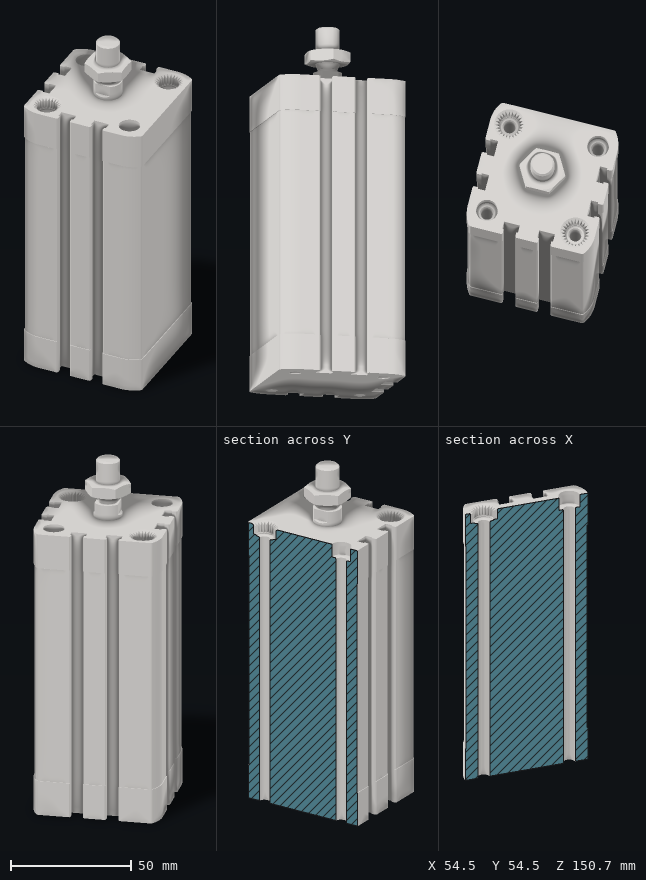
import cadquery as cq
import math

CAP_WIDTH = 54.5
BARREL_INSET = 0.3
TOTAL_HEIGHT = 150.7
HOUSING_HEIGHT = 125.1
CAP_HEIGHT = 15.0
BARREL_HEIGHT = HOUSING_HEIGHT - 2 * CAP_HEIGHT

HOLE_OFFSET = 19.0
CORNER_DROP = 3.0
CORNER_EDGE_RADIUS = 1.4

SLOT_OFFSET = 7.5
SLOT_MOUTH_WIDTH = 5.5
SLOT_INNER_WIDTH = 6.8
SLOT_LIP = 2.3
SLOT_CHAMFER = 0.5
SLOT_DEPTH = 5.5

CORE_DIAMETER = 5.0
CORE_COUNTERSINK_DIAMETER = 6.0
COUNTERBORE_DIAMETER = 9.0
COUNTERBORE_DEPTH = 5.7
SOCKET_TEETH = 24
SOCKET_TIP_DIAMETER = 8.6
SOCKET_ROOT_DIAMETER = 11.9
SOCKET_DEPTH = 5.1
WELL_DIAMETER = 8.1
WELL_DEPTH = 0.5
SOCKET_MOUTH_DIAMETER = 12.8
SOCKET_MOUTH_DEPTH = 1.2

ROD_DIAMETER = 12.0
ROD_SHOULDER_HEIGHT = 6.6
FLAT_WIDTH = 10.0
FLAT_BOTTOM = 1.4
FLAT_SLOPE_HEIGHT = 0.6
THREAD_DIAMETER = 10.0
THREAD_CHAMFER = 0.8
NECK_DIAMETER = THREAD_DIAMETER - 2 * THREAD_CHAMFER
GROOVE_DIAMETER = 8.1
GROOVE_HEIGHT = 1.4
THREAD_BOTTOM = HOUSING_HEIGHT + 10.2

NUT_ACROSS_FLATS = 17.0
NUT_HEIGHT = 5.0
NUT_BOTTOM = 135.6
NUT_CHAMFER_ANGLE = 20.0


def block(inset, height, base):
    """Square block with corner arcs tangent to its Y faces, set back from the cap faces by `inset`."""
    half = CAP_WIDTH / 2
    run = half - HOLE_OFFSET
    radius = (run**2 + CORNER_DROP**2) / (2 * CORNER_DROP)
    mid_angle = math.asin(run / radius) / 2
    mid_x = HOLE_OFFSET + radius * math.sin(mid_angle)
    mid_y = half - radius * (1 - math.cos(mid_angle))
    side_y = half - CORNER_DROP
    outline = (
        cq.Workplane("XY", origin=(0, 0, base))
        .moveTo(-HOLE_OFFSET, half)
        .lineTo(HOLE_OFFSET, half)
        .threePointArc((mid_x, mid_y), (half, side_y))
        .lineTo(half, -side_y)
        .threePointArc((mid_x, -mid_y), (HOLE_OFFSET, -half))
        .lineTo(-HOLE_OFFSET, -half)
        .threePointArc((-mid_x, -mid_y), (-half, -side_y))
        .lineTo(-half, side_y)
        .threePointArc((-mid_x, mid_y), (-HOLE_OFFSET, half))
        .close()
    )
    if inset > 0:
        outline = outline.offset2D(-inset)
    solid = outline.extrude(height)
    for face in ("<X", ">X"):
        solid = solid.faces(face).edges("|Z").fillet(CORNER_EDGE_RADIUS - inset)
    return solid


def t_slot(x, inset, height, base):
    """Cutter for one T-slot in the -Y face, its chamfered mouth starting `inset` behind the cap face."""
    cap_face = -CAP_WIDTH / 2
    face = cap_face + inset
    lip = cap_face + SLOT_LIP
    floor = cap_face + SLOT_DEPTH
    mouth = SLOT_MOUTH_WIDTH / 2
    inner = SLOT_INNER_WIDTH / 2
    opening = mouth + SLOT_CHAMFER
    return (
        cq.Workplane("XY", origin=(x, 0, base))
        .polyline([
            (-opening, face),
            (-mouth, face + SLOT_CHAMFER),
            (-mouth, lip),
            (-inner, lip),
            (-inner, floor),
            (inner, floor),
            (inner, lip),
            (mouth, lip),
            (mouth, face + SLOT_CHAMFER),
            (opening, face),
        ])
        .close()
        .extrude(height)
    )


def section(inset, height, base):
    """One length of the housing: a block with two T-slots in each slotted face."""
    solid = block(inset, height, base)
    for turn in (0, 180, -90):
        for x in (-SLOT_OFFSET, SLOT_OFFSET):
            solid = solid.cut(t_slot(x, inset, height, base).rotate((0, 0, 0), (0, 0, 1), turn))
    return solid


def cone(top_diameter, bottom_diameter, top_z, depth):
    """Truncated cone on the Z axis, reaching down from `top_z`."""
    return cq.Workplane("XY").add(
        cq.Solid.makeCone(bottom_diameter / 2, top_diameter / 2, depth, pnt=cq.Vector(0, 0, top_z - depth))
    )


def core_hole(floor_z):
    """Through hole with a 45-degree countersink at the recess floor."""
    countersink_depth = (CORE_COUNTERSINK_DIAMETER - CORE_DIAMETER) / 2
    through = cq.Workplane("XY").circle(CORE_DIAMETER / 2).extrude(floor_z)
    return through.union(cone(CORE_COUNTERSINK_DIAMETER, CORE_DIAMETER, floor_z, countersink_depth))


def counterbored_hole():
    """Plain counterbore over the through hole."""
    floor_z = HOUSING_HEIGHT - COUNTERBORE_DEPTH
    bore = (
        cq.Workplane("XY", origin=(0, 0, floor_z))
        .circle(COUNTERBORE_DIAMETER / 2)
        .extrude(COUNTERBORE_DEPTH)
    )
    return core_hole(floor_z).union(bore)


def socket_hole():
    """Toothed socket with a conical mouth and a round well at its floor, over the through hole."""
    floor_z = HOUSING_HEIGHT - SOCKET_DEPTH
    points = []
    for i in range(2 * SOCKET_TEETH):
        radius = (SOCKET_ROOT_DIAMETER if i % 2 == 0 else SOCKET_TIP_DIAMETER) / 2
        angle = math.pi * i / SOCKET_TEETH
        points.append((radius * math.cos(angle), radius * math.sin(angle)))
    socket = (
        cq.Workplane("XY", origin=(0, 0, floor_z + WELL_DEPTH))
        .polyline(points)
        .close()
        .extrude(SOCKET_DEPTH - WELL_DEPTH)
    )
    mouth = cone(SOCKET_MOUTH_DIAMETER, SOCKET_TIP_DIAMETER, HOUSING_HEIGHT, SOCKET_MOUTH_DEPTH)
    well = cq.Workplane("XY", origin=(0, 0, floor_z)).circle(WELL_DIAMETER / 2).extrude(WELL_DEPTH)
    return core_hole(floor_z).union(well).union(socket).union(mouth)


def make_housing():
    """Two caps and the barrel as one solid, with sockets and counterbores at opposite corners."""
    body = section(0, CAP_HEIGHT, 0)
    body = body.union(section(BARREL_INSET, BARREL_HEIGHT, CAP_HEIGHT))
    body = body.union(section(0, CAP_HEIGHT, CAP_HEIGHT + BARREL_HEIGHT))
    for side in (-1, 1):
        x = side * HOLE_OFFSET
        body = body.cut(socket_hole().translate((x, x, 0)))
        body = body.cut(counterbored_hole().translate((x, -x, 0)))
    return body


def make_rod():
    """Turned rod standing on the housing, with two wrench flats facing -Y and +Y."""
    shoulder_z = HOUSING_HEIGHT + ROD_SHOULDER_HEIGHT
    rod_radius = ROD_DIAMETER / 2
    neck_radius = NECK_DIAMETER / 2
    groove_top = shoulder_z + GROOVE_HEIGHT
    groove_radius = GROOVE_DIAMETER / 2
    thread_radius = THREAD_DIAMETER / 2
    rod = (
        cq.Workplane("XZ")
        .polyline([
            (0, HOUSING_HEIGHT),
            (rod_radius, HOUSING_HEIGHT),
            (rod_radius, shoulder_z),
            (groove_radius, shoulder_z),
            (groove_radius, groove_top),
            (neck_radius, groove_top),
            (thread_radius, THREAD_BOTTOM),
            (thread_radius, TOTAL_HEIGHT - THREAD_CHAMFER),
            (neck_radius, TOTAL_HEIGHT),
            (0, TOTAL_HEIGHT),
        ])
        .close()
        .revolve(360, (0, 0, 0), (0, 1, 0))
    )
    flat_z = HOUSING_HEIGHT + FLAT_BOTTOM
    for side in (-1, 1):
        flat = (
            cq.Workplane("YZ")
            .polyline([
                (side * rod_radius, flat_z),
                (side * FLAT_WIDTH / 2, flat_z + FLAT_SLOPE_HEIGHT),
                (side * FLAT_WIDTH / 2, shoulder_z),
                (side * rod_radius, shoulder_z),
            ])
            .close()
            .extrude(rod_radius, both=True)
        )
        rod = rod.cut(flat)
    return rod


def make_nut():
    """Hexagon nut, corners pointing along Y, both faces chamfered down to the flats' circle."""
    corner_diameter = NUT_ACROSS_FLATS / math.cos(math.pi / 6)
    chamfer_drop = (corner_diameter - NUT_ACROSS_FLATS) / 2 * math.tan(math.radians(NUT_CHAMFER_ANGLE))
    hexagon = (
        cq.Workplane("XY", origin=(0, 0, NUT_BOTTOM))
        .polygon(6, corner_diameter)
        .extrude(NUT_HEIGHT)
        .rotate((0, 0, 0), (0, 0, 1), 30)
    )
    envelope = (
        cq.Workplane("XZ")
        .polyline([
            (0, NUT_BOTTOM),
            (NUT_ACROSS_FLATS / 2, NUT_BOTTOM),
            (corner_diameter / 2, NUT_BOTTOM + chamfer_drop),
            (corner_diameter / 2, NUT_BOTTOM + NUT_HEIGHT - chamfer_drop),
            (NUT_ACROSS_FLATS / 2, NUT_BOTTOM + NUT_HEIGHT),
            (0, NUT_BOTTOM + NUT_HEIGHT),
        ])
        .close()
        .revolve(360, (0, 0, 0), (0, 1, 0))
    )
    bore = cq.Workplane("XY", origin=(0, 0, NUT_BOTTOM)).circle(THREAD_DIAMETER / 2).extrude(NUT_HEIGHT)
    return hexagon.intersect(envelope).cut(bore)


housing = make_housing()
rod = make_rod()
nut = make_nut()

result = cq.Compound.makeCompound([housing.val(), rod.val(), nut.val()])